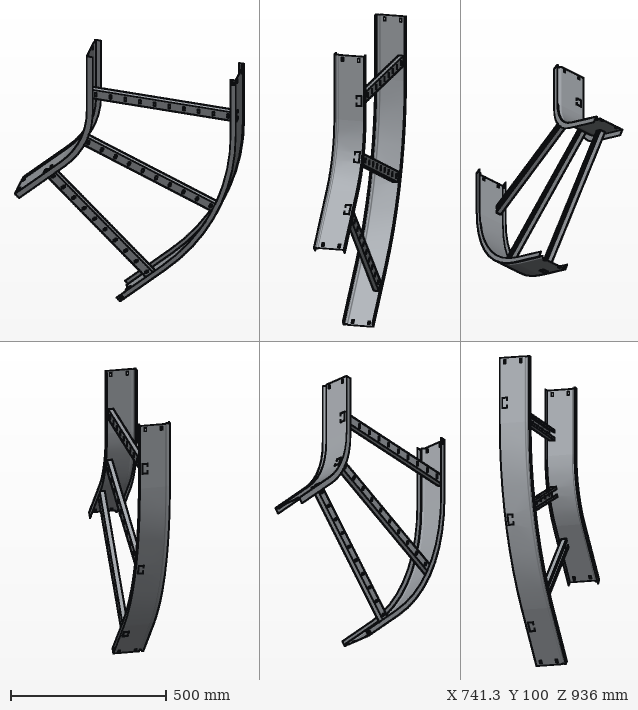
import cadquery as cq
import math


HEIGHT = 936.0
BEND_ANGLE = 45.0
INNER_RADIUS = 300.0
OUTER_RADIUS = 800.0
SIN_BEND = math.sin(math.radians(BEND_ANGLE))
STRAIGHT = (HEIGHT - OUTER_RADIUS * SIN_BEND) / (1 + SIN_BEND)

SHEET = 1.1
RAIL_DEPTH = 100.0
INNER_FLANGE = 21.0
OUTER_FLANGE = 18.0
BEAD_DEPTH = 6.0
BEAD_START = 85.0
BEAD_END = 95.5
BEAD_SLOPE = 4.0
BEAD_CORNER_RADIUS = 2.0

FIXING_LENGTH = 11.0
FIXING_WIDTH = 6.1
FIXING_INSET = 14.0
WEB_FIXING_Y = [18.0, 72.0]
FLANGE_FIXING_OFFSET = 9.0

RUNG_WIDTH = 35.0
RUNG_DEPTH = 18.0
RUNG_FRONT = 8.0
RUNG_LIP = 9.0
RUNG_INSET = 150.0
RUNG_SLOT_COUNT = 10
RUNG_SLOT_SPAN = 444.0
RUNG_SLOT_LENGTH = 15.0
RUNG_SLOT_WIDTH = 7.0


def turn(body, angle):
    """Swing a body about the bend axis, away from the upright rail ends."""
    return body.rotate((0, 0, 0), (0, 1, 0), angle)


def sweep_along_bend(section, radius):
    """Sweep an (x, y) sketch down one straight, round the bend and down the other."""
    middle = math.radians(BEND_ANGLE / 2)
    end = math.radians(BEND_ANGLE)
    arc_end = (radius * math.cos(end), -radius * math.sin(end))
    path = (
        cq.Workplane("XZ")
        .moveTo(radius, STRAIGHT)
        .lineTo(radius, 0)
        .threePointArc((radius * math.cos(middle), -radius * math.sin(middle)), arc_end)
        .lineTo(arc_end[0] - STRAIGHT * math.sin(end), arc_end[1] - STRAIGHT * math.cos(end))
    )
    return cq.Workplane("XY", origin=(0, 0, STRAIGHT)).placeSketch(section).sweep(path)


def rail_section(radius, inward, flange):
    """Channel with a beaded web; inward is +1 or -1, the X direction of the flanges."""
    bead = [
        (0, BEAD_START),
        (BEAD_DEPTH, BEAD_START + BEAD_SLOPE),
        (BEAD_DEPTH, BEAD_END - BEAD_SLOPE),
        (0, BEAD_END),
    ]
    outside = [(flange, 0), (0, 0), *bead, (0, RAIL_DEPTH), (flange, RAIL_DEPTH)]
    bead_inside = [(offset + SHEET, y) for offset, y in reversed(bead)]
    inside = [
        (flange, RAIL_DEPTH - SHEET),
        (SHEET, RAIL_DEPTH - SHEET),
        *bead_inside,
        (SHEET, SHEET),
        (flange, SHEET),
    ]
    corners = [(radius + inward * offset, y) for offset, y in outside + inside]
    bead_corners = cq.selectors.BoxSelector(
        (0, BEAD_START - SHEET, -SHEET),
        (OUTER_RADIUS + SHEET, BEAD_END + SHEET, SHEET),
    )
    return cq.Sketch().polygon([*corners, corners[0]]).vertices(bead_corners).fillet(BEAD_CORNER_RADIUS)


def cut_at_both_ends(rail, cutter):
    """Cut a rail at its upright end and, mirrored, at its turned end."""
    return rail.cut(cutter).cut(turn(cutter.mirror("XY"), BEND_ANGLE))


def make_rail(radius, inward, flange):
    """Side rail with two fixing slots through the web at each end."""
    rail = sweep_along_bend(rail_section(radius, inward, flange), radius)
    web_slots = (
        cq.Workplane("YZ", origin=(radius, 0, STRAIGHT - FIXING_INSET))
        .pushPoints([(y, 0) for y in WEB_FIXING_Y])
        .rect(FIXING_WIDTH, FIXING_LENGTH)
        .extrude(2 * SHEET, both=True)
    )
    return cut_at_both_ends(rail, web_slots)


def cut_front_flange_slots(rail):
    """Cut one slot through the front flange at each end of the outer rail."""
    flange_slot = (
        cq.Workplane("XZ", origin=(OUTER_RADIUS - FLANGE_FIXING_OFFSET, 0, STRAIGHT - FIXING_INSET))
        .rect(FIXING_WIDTH, FIXING_LENGTH)
        .extrude(2 * SHEET, both=True)
    )
    return cut_at_both_ends(rail, flange_slot)


def rung_blank():
    """Lipped channel along X, open to the back, with a row of slots in its front face."""
    overlong = OUTER_RADIUS + RUNG_WIDTH
    half = RUNG_WIDTH / 2
    back = RUNG_FRONT + RUNG_DEPTH
    half_section = [
        (RUNG_FRONT, half),
        (back, half),
        (back, half - RUNG_LIP),
        (back - SHEET, half - RUNG_LIP),
        (back - SHEET, half - SHEET),
        (RUNG_FRONT + SHEET, half - SHEET),
    ]
    section = half_section + [(y, -z) for y, z in reversed(half_section)]
    blank = cq.Workplane("YZ").polyline(section).close().extrude(overlong)
    slots = (
        cq.Workplane("XZ", origin=((INNER_RADIUS + OUTER_RADIUS) / 2, RUNG_FRONT, 0))
        .rarray(RUNG_SLOT_SPAN / (RUNG_SLOT_COUNT - 1), 9, RUNG_SLOT_COUNT, 1)
        .slot2D(RUNG_SLOT_LENGTH, RUNG_SLOT_WIDTH, 90)
        .extrude(2 * SHEET, both=True)
    )
    return blank.cut(slots)


def make_rungs():
    """End rungs on the straights and one on the bisector, ends flush with the outer web faces."""
    span = OUTER_RADIUS - INNER_RADIUS
    middle = cq.Location(cq.Vector(INNER_RADIUS + span / 2, RAIL_DEPTH / 2))
    between_webs = sweep_along_bend(cq.Sketch().rect(span, RAIL_DEPTH).moved(middle), INNER_RADIUS)
    end_offset = STRAIGHT - RUNG_INSET
    placements = [(0, end_offset), (BEND_ANGLE / 2, 0), (BEND_ANGLE, -end_offset)]
    return [
        turn(rung_blank().translate((0, 0, offset)), angle).intersect(between_webs)
        for angle, offset in placements
    ]


rungs = make_rungs()
inner_rail = make_rail(INNER_RADIUS, 1, INNER_FLANGE)
outer_rail = cut_front_flange_slots(make_rail(OUTER_RADIUS, -1, OUTER_FLANGE))

for rung in rungs:
    inner_rail = inner_rail.cut(rung)
    outer_rail = outer_rail.cut(rung)

result = cq.Compound.makeCompound([
    inner_rail.val(),
    outer_rail.val(),
    *[rung.val() for rung in rungs],
])